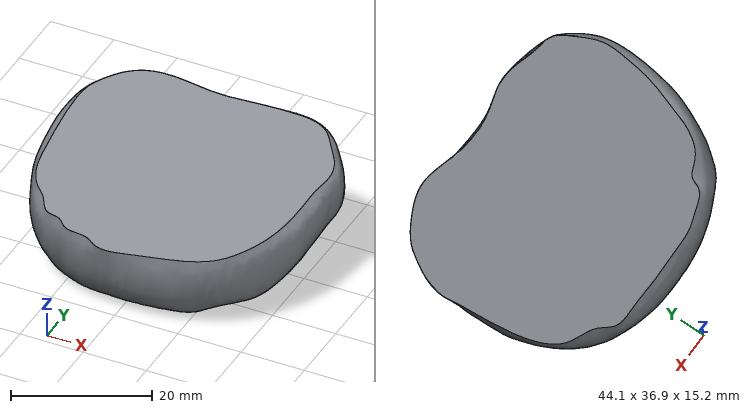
import cadquery as cq
import math


TOP_HEIGHT = 4.85
TOP_TILT = 9.3
BOTTOM_HEIGHT = -2.55
BOTTOM_TILT = 18.4

WAIST_DEPTH = 0.55
SHOULDER_DEPTH = 0.8

SHOULDER_INSET = 0.28

TOP_OUTLINE = [
    (20.6, 5.85), (19.9, 9.85), (18.15, 12.35), (16.15, 14.85), (13.35, 16.15),
    (10.3, 16.43), (5.95, 16.4), (1.25, 16.07), (-2.05, 16.07),
    (-7.4, 16.75), (-10.4, 16.85), (-13.05, 16.45), (-15.7, 15.15), (-17.85, 13.0), (-19.35, 10.53),
    (-19.9, 7.05), (-19.8, 1.9), (-19.45, -2.65), (-18.95, -6.4),
    (-17.0, -10.1), (-15.35, -11.7), (-13.35, -14.3), (-11.27, -14.85), (-9.95, -16.0),
    (-5.9, -16.85), (-4.2, -17.85), (0.57, -17.85), (4.55, -17.05), (8.35, -16.25),
    (13.48, -14.05), (15.85, -11.6), (18.15, -7.57), (19.3, -3.75), (19.8, 0.57), (20.1, 3.52),
]
WAIST_OUTLINE = [
    (21.9, 5.85), (21.5, 9.85), (19.9, 12.45), (18.1, 14.7), (15.3, 16.75),
    (11.2, 17.85), (5.85, 17.0), (1.05, 16.45), (-1.95, 16.55),
    (-7.57, 17.6), (-10.05, 17.53), (-13.65, 16.6), (-17.05, 15.55), (-19.38, 13.1), (-21.4, 9.35),
    (-21.95, 5.85), (-21.85, 1.55), (-21.05, -3.3), (-19.5, -7.57),
    (-17.85, -10.7), (-16.2, -12.75), (-14.35, -14.55), (-12.35, -15.65), (-10.4, -16.5),
    (-7.05, -17.6), (-3.9, -18.15), (0.9, -18.3), (5.37, -17.95), (9.85, -16.75),
    (14.0, -14.7), (17.3, -11.55), (19.8, -7.22), (21.25, -3.1), (21.65, 0.9), (21.85, 3.1),
]
BOTTOM_OUTLINE = [
    (21.5, 5.85), (21.4, 9.85), (20.13, 12.7), (18.65, 14.85), (15.7, 16.9),
    (11.2, 18.45), (5.85, 17.5), (1.05, 16.55), (-1.95, 16.65),
    (-7.57, 17.92), (-10.05, 17.8), (-13.65, 16.75), (-17.18, 15.9), (-19.38, 13.2), (-21.23, 9.35),
    (-21.35, 5.85), (-20.95, 1.3), (-19.8, -3.1), (-18.65, -6.83),
    (-16.3, -9.7), (-14.75, -10.4), (-13.65, -11.0), (-13.0, -12.5), (-10.15, -14.1),
    (-7.5, -14.9), (-3.52, -15.05), (2.2, -15.05), (6.15, -14.9), (10.05, -14.35),
    (11.7, -12.7), (16.05, -10.4), (18.85, -6.55), (20.05, -2.65), (20.7, 0.9), (21.05, 3.1),
]


def blend(start, end, share):
    """Value the given share of the way from start to end."""
    return start + (end - start) * share


def shoulder_outline():
    """Outline just below the waist, where the rim turns in toward the bottom face."""
    return [
        (blend(waist_x, bottom_x, SHOULDER_INSET), blend(waist_y, bottom_y, SHOULDER_INSET))
        for (waist_x, waist_y), (bottom_x, bottom_y) in zip(WAIST_OUTLINE, BOTTOM_OUTLINE)
    ]


def section(outline, depth):
    """Closed smooth wire over a plan outline, on the sloping plane at the given depth share."""
    height = blend(TOP_HEIGHT, BOTTOM_HEIGHT, depth)
    slope = blend(math.tan(math.radians(TOP_TILT)), math.tan(math.radians(BOTTOM_TILT)), depth)
    points = [cq.Vector(x, y, height + slope * y) for x, y in outline]
    rim = cq.Edge.makeSpline(points, periodic=True)
    return cq.Wire.assembleEdges([rim])


sections = [
    section(BOTTOM_OUTLINE, 1),
    section(shoulder_outline(), SHOULDER_DEPTH),
    section(WAIST_OUTLINE, WAIST_DEPTH),
    section(TOP_OUTLINE, 0),
]
result = cq.Workplane(cq.Solid.makeLoft(sections))